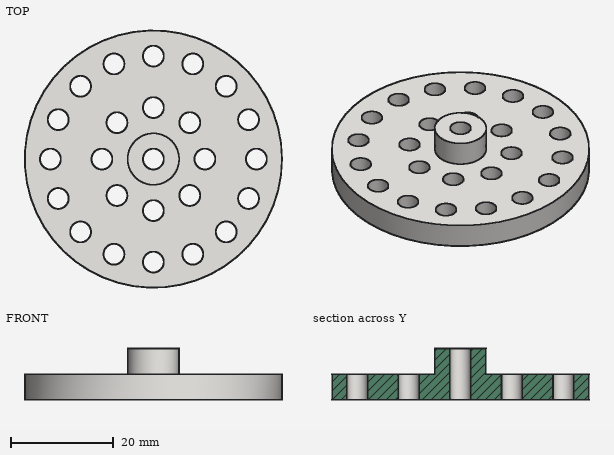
import cadquery as cq

plate_diameter = 50
plate_thickness = 5
hub_diameter = 10
hub_height = 5

hole_diameter = 4
inner_ring_radius = 10
inner_ring_count = 8
outer_ring_radius = 2 * inner_ring_radius
outer_ring_count = 2 * inner_ring_count


def make_body():
    """Plate resting on Z = 0 with the hub standing on its top face."""
    plate = cq.Workplane("XY").circle(plate_diameter / 2).extrude(plate_thickness)
    return plate.faces(">Z").workplane().circle(hub_diameter / 2).extrude(hub_height)


def cut_hole_ring(body, radius, count):
    """Cut equally spaced through holes, the first one on the +X axis."""
    holes = (
        cq.Workplane("XY")
        .polarArray(radius, 0, 360, count)
        .circle(hole_diameter / 2)
        .extrude(plate_thickness)
    )
    return body.cut(holes)


def cut_centre_hole(body):
    """Bore through both the hub and the plate."""
    return body.faces(">Z").workplane().hole(hole_diameter)


result = make_body()
result = cut_centre_hole(result)
result = cut_hole_ring(result, inner_ring_radius, inner_ring_count)
result = cut_hole_ring(result, outer_ring_radius, outer_ring_count)